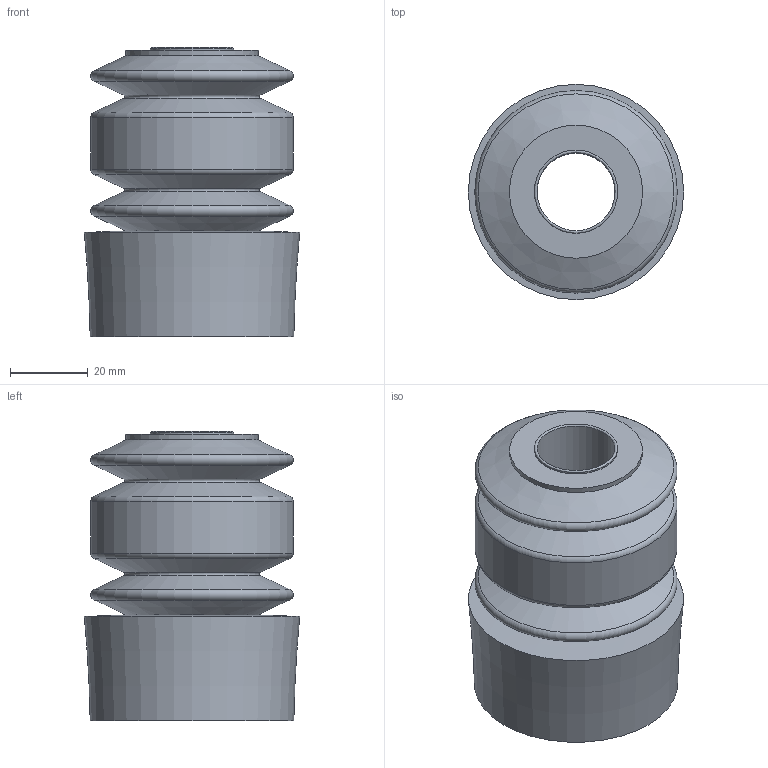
import cadquery as cq
import math

total_height = 74.22
lip_height = 0.75
collar_top_z = total_height - lip_height

bore_radius = 10.0
lip_radius = 10.7
lip_crest_radius = (bore_radius + lip_radius) / 2
lip_round = (lip_radius - bore_radius) / 2
lip_round_z = total_height - lip_round

collar_top_radius = 17.1
collar_foot_radius = 17.0

bellows_radius = 26.0
crest_round = 1.5
groove_radius = 17.3
groove_round = 0.5
flank_angle = math.radians(25.0)
band_mid_z = 49.6
band_half_height = 6.65

base_foot_radius = 26.15
base_mid_radius = 26.65
base_rim_radius = 27.65
base_rim_z = 26.72
shoulder_rise = 0.4
shoulder_inner_z = base_rim_z + shoulder_rise

crest_flank_radius = bellows_radius - crest_round * (1 - math.sin(flank_angle))
crest_flank_rise = crest_round * math.cos(flank_angle)
groove_flank_radius = groove_radius + groove_round * (1 - math.sin(flank_angle))
groove_flank_rise = groove_round * math.cos(flank_angle)
flank_height = (crest_flank_radius - groove_flank_radius) * math.tan(flank_angle)

round_spacing = crest_flank_rise + flank_height + groove_flank_rise
groove_offset = band_half_height + round_spacing
crest_offset = groove_offset + round_spacing

upper_flank_end_z = (
    band_mid_z + crest_offset + crest_flank_rise
    + (crest_flank_radius - collar_foot_radius) * math.tan(flank_angle)
)
lower_flank_start_z = band_mid_z - crest_offset - crest_flank_rise
shoulder_inner_radius = crest_flank_radius - (
    (lower_flank_start_z - shoulder_inner_z) / math.tan(flank_angle)
)


def add_crest(profile, center_z):
    """Climb to a fold crest and round it over."""
    return profile.lineTo(crest_flank_radius, center_z - crest_flank_rise).threePointArc(
        (bellows_radius, center_z), (crest_flank_radius, center_z + crest_flank_rise)
    )


def add_groove(profile, center_z):
    """Run down to a groove and round its root."""
    return profile.lineTo(groove_flank_radius, center_z - groove_flank_rise).threePointArc(
        (groove_radius, center_z), (groove_flank_radius, center_z + groove_flank_rise)
    )


def add_band(profile):
    """Add the cylindrical band with its two rounded edges."""
    lower_z = band_mid_z - band_half_height
    upper_z = band_mid_z + band_half_height
    half_sweep = (math.pi / 2 - flank_angle) / 2
    arc_mid_radius = bellows_radius - crest_round * (1 - math.cos(half_sweep))
    arc_mid_rise = crest_round * math.sin(half_sweep)
    profile = profile.lineTo(crest_flank_radius, lower_z - crest_flank_rise)
    profile = profile.threePointArc(
        (arc_mid_radius, lower_z - arc_mid_rise), (bellows_radius, lower_z)
    )
    profile = profile.lineTo(bellows_radius, upper_z)
    return profile.threePointArc(
        (arc_mid_radius, upper_z + arc_mid_rise), (crest_flank_radius, upper_z + crest_flank_rise)
    )


def make_profile():
    """Half section of the part; local x is the radius and local y is Z."""
    profile = cq.Workplane("XZ").moveTo(bore_radius, 0).lineTo(base_foot_radius, 0)
    profile = profile.threePointArc((base_mid_radius, base_rim_z / 2), (base_rim_radius, base_rim_z))
    profile = profile.lineTo(shoulder_inner_radius, shoulder_inner_z)
    profile = add_crest(profile, band_mid_z - crest_offset)
    profile = add_groove(profile, band_mid_z - groove_offset)
    profile = add_band(profile)
    profile = add_groove(profile, band_mid_z + groove_offset)
    profile = add_crest(profile, band_mid_z + crest_offset)
    profile = profile.lineTo(collar_foot_radius, upper_flank_end_z)
    profile = profile.lineTo(collar_top_radius, collar_top_z)
    profile = profile.lineTo(lip_radius, collar_top_z)
    profile = profile.lineTo(lip_radius, lip_round_z)
    profile = profile.threePointArc((lip_crest_radius, total_height), (bore_radius, lip_round_z))
    return profile.close()


result = make_profile().revolve(360, (0, 0, 0), (0, 1, 0))